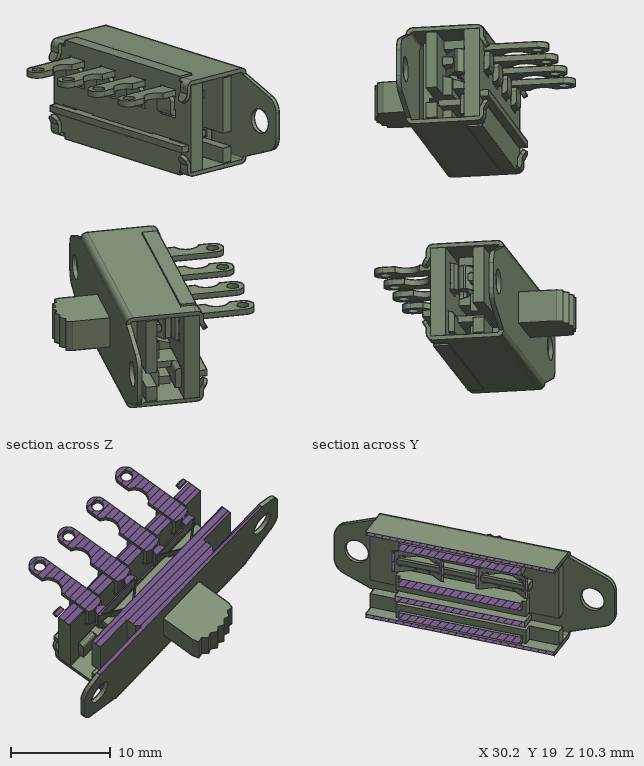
import cadquery as cq
import math


overall_length = 30.23
shell_length = 20.34
shell_height = 9.96
sheet = 0.42
plate_thickness = 0.46
shell_bend_radius = 0.66
mount_hole_diameter = 2.54
mount_hole_spacing = 25.4
ear_tip_height = 4.86
ear_root_height = 8.64
ear_corner_radius = 1.6

board_height = 10.31
board_front = -5.92
board_back = -7.49
board_wide_length = 17.1
board_side_gap = 0.09
board_length = 20.4

tab_width = 1.07
tab_bend_radius = 0.73
tab_straight_end = 3.62
tab_kick_angle = 30
tab_kick_length = 1.07
tab_back = board_back - sheet
tab_bend_start = tab_back + tab_bend_radius
tab_bend_angle = 90
lip_bend_angle = 45

knob_width = 5.58
knob_height = 3.22
knob_tip = 5.15
tooth_peaks = [(0.5, knob_tip), (1.58, 4.89), (2.6, 4.47)]
tooth_valleys = [(0, 4.82), (1.06, 4.7), (2.02, 4.36)]
knob_shoulder = 3.84

carriage_length = shell_length
carriage_nose_length = 12.1
carriage_height = 8.86
carriage_front = -plate_thickness
carriage_step = -2.02
carriage_back = -3.13
carriage_chamfer = 0.46
groove_top = -1.31
groove_bottom = -2.87
groove_floor = -1.54
rib_length = 14.0
rib_end_length = 13.2
rib_mid = -4.05
rib_end = -5.31
top_rib_bottom = 3.53
low_lip_top = -3.6
wedge_root_top = 0.74
wedge_tip_top = 0.04
wedge_bottom = -0.58

terminal_count = 4
terminal_pitch = 4.52
terminal_width = 2.02
terminal_top = 3.53
terminal_bottom = 0.89
terminal_thickness = 0.6
terminal_inner = -5.31
terminal_eye_y = -12.73
terminal_tip = -13.86
eye_diameter = 1.17
notch_y = -10.33
notch_radius = 1.4
notch_depth = 0.77
hook_back = -8.06
hook_top = 2.88
hook_corner = 0.5
terminal_edge_chamfer = 0.24
terminal_edge_run = 0.6
opening_width = 2.24
upper_opening = (2.87, 3.62)
lower_opening = (0.66, 1.53)

strip_length = 19.68
blade_length = 14.0
strip_leg_length = 17.8
strip_front = -2.64
strip_back = -8.35
strip_top = -1.76
strip_bottom = -2.41
strip_leg_bottom = -3.86
strip_bend_radius = 0.4
strip_slot_gap = 0.1
strip_slot_length = 4.45
strip_slot_offset = 6.67

contact_bottom = 0.96
contact_top = 3.36
contact_back = -4.65
contact_sheet = 0.2
contact_leg_width = 0.3
contact_half_length = 2.95
contact_leg_lean = 2.0
window_bottom = 1.58
window_top = 2.78
window_front = -3.79
window_back = -4.06
tongue_bottom = 1.75
tongue_top = 2.56
tongue_length = 14.7
tongue_back = -4.25
tongue_chamfer = 0.15


def box(x_range, y_range, z_range):
    """Axis-aligned block between pairs of coordinates."""
    spans = [sorted(r) for r in (x_range, y_range, z_range)]
    size = [high - low for low, high in spans]
    corner = tuple(low for low, high in spans)
    return cq.Workplane("XY").box(*size, centered=False).translate(corner)


def centred(length):
    """Coordinate pair of a span centred on zero."""
    return (-length / 2, length / 2)


def along_x(profile, length, x_centre=0):
    """Extrude a closed YZ profile along X, centred on x_centre."""
    return profile.extrude(length / 2, both=True).translate((x_centre, 0, 0))


def mirrored(body, plane):
    """The body together with its mirror image."""
    return body.union(body.mirror(plane))


def mounting_plate():
    tip_x = overall_length / 2
    root_x = shell_length / 2
    outline = [
        (-tip_x, -ear_tip_height / 2), (-root_x, -ear_root_height / 2),
        (root_x, -ear_root_height / 2), (tip_x, -ear_tip_height / 2),
        (tip_x, ear_tip_height / 2), (root_x, ear_root_height / 2),
        (-root_x, ear_root_height / 2), (-tip_x, ear_tip_height / 2),
    ]
    plate = cq.Workplane("XZ").polyline(outline).close().extrude(plate_thickness)
    plate = plate.edges("|Y").edges("<X or >X").fillet(ear_corner_radius)
    return (
        plate.faces("<Y").workplane(origin=(0, 0, 0))
        .pushPoints([(-mount_hole_spacing / 2, 0), (mount_hole_spacing / 2, 0)])
        .hole(mount_hole_diameter)
    )


def shell_channel():
    inner_height = shell_height - 2 * sheet
    channel = box(centred(shell_length), (0, tab_bend_start), centred(shell_height))
    channel = channel.edges("|X and >Y").fillet(shell_bend_radius)
    cavity = box(centred(shell_length), (-plate_thickness, tab_bend_start), centred(inner_height))
    cavity = cavity.edges("|X and >Y").fillet(shell_bend_radius - sheet)
    notch_length = board_wide_length + 2 * board_side_gap
    notch = box(centred(notch_length), (board_front, tab_bend_start), centred(shell_height))
    return channel.cut(cavity).cut(notch)


def shell_fold(width, x_centre, angle):
    """Bend of the top sheet, through the given angle, around the rear edge of the board."""
    bend_z = shell_height / 2 - tab_bend_radius
    inner_radius = tab_bend_radius - sheet
    swing_y = -math.sin(math.radians(angle))
    swing_z = math.cos(math.radians(angle))
    profile = (
        cq.Workplane("YZ", origin=(0, tab_bend_start, bend_z))
        .moveTo(0, inner_radius).lineTo(0, tab_bend_radius)
        .radiusArc((tab_bend_radius * swing_y, tab_bend_radius * swing_z), -tab_bend_radius)
        .lineTo(inner_radius * swing_y, inner_radius * swing_z)
        .radiusArc((0, inner_radius), inner_radius)
        .close()
    )
    return along_x(profile, width, x_centre)


def shell_tab(x_centre):
    """Tab running down the board from the bend, its round-ended tip kicked outwards."""
    bend_z = shell_height / 2 - tab_bend_radius
    half_width = tab_width / 2
    x_range = (x_centre - half_width, x_centre + half_width)
    straight = box(x_range, (board_back, tab_back), (tab_straight_end, bend_z))
    kick = math.radians(tab_kick_angle)
    tip_plane = cq.Plane(
        origin=(x_centre, board_back, tab_straight_end),
        xDir=(-1, 0, 0),
        normal=(0, -math.cos(kick), math.sin(kick)),
    )
    round_start = half_width - tab_kick_length
    tip = (
        cq.Workplane(tip_plane).moveTo(-half_width, 0).lineTo(-half_width, -round_start)
        .threePointArc((0, tab_kick_length), (half_width, -round_start))
        .lineTo(half_width, 0).close().extrude(sheet)
    )
    return straight.union(tip)


def shell_tabs():
    tab_x = (shell_length - tab_width) / 2
    lip_width = (shell_length - board_wide_length) / 2 - board_side_gap
    lip_x = (shell_length - lip_width) / 2
    corner = shell_fold(lip_width, lip_x, lip_bend_angle)
    corner = corner.union(shell_fold(tab_width, tab_x, tab_bend_angle))
    corner = corner.union(shell_tab(tab_x))
    return mirrored(mirrored(corner, "YZ"), "XY")


def knob():
    half_width = knob_width / 2
    teeth = []
    for valley, peak in zip(tooth_valleys, tooth_peaks):
        teeth += [valley, peak]
    right_side = teeth + [(half_width, knob_shoulder), (half_width, carriage_front)]
    left_side = [(-x, y) for x, y in reversed(right_side[1:])]
    outline = right_side + left_side
    return cq.Workplane("XY").polyline(outline).close().extrude(knob_height / 2, both=True)


def carriage():
    nose = box(centred(carriage_nose_length), (carriage_front, carriage_step), centred(carriage_height))
    nose = nose.faces(">Y").chamfer(carriage_chamfer)
    body = nose.union(
        box(centred(carriage_length), (carriage_step, carriage_back), centred(carriage_height))
    )
    groove = box(centred(carriage_length), (groove_floor, carriage_back), (groove_bottom, groove_top))
    return body.cut(groove)


def carriage_ribs():
    half_height = carriage_height / 2
    top_rib = box(centred(rib_end_length), (carriage_back, rib_end), (top_rib_bottom, half_height))
    wedge = (
        cq.Workplane("YZ")
        .polyline([
            (carriage_back, groove_top), (carriage_back, wedge_root_top), (rib_end, wedge_tip_top),
            (rib_end, wedge_bottom), (rib_mid, wedge_bottom), (rib_mid, groove_top),
        ])
        .close()
    )
    wedge = along_x(wedge, rib_length)
    cheek_x = (rib_end_length / 2, rib_length / 2)
    cheek = box(cheek_x, (rib_mid, rib_end), (wedge_bottom, wedge_root_top))
    wedge = wedge.cut(mirrored(cheek, "YZ"))
    low_rib = box(centred(rib_length), (carriage_back, rib_mid), (-half_height, groove_bottom))
    low_lip = box(centred(rib_end_length), (rib_mid, rib_end), (-half_height, low_lip_top))
    tongue = box(centred(tongue_length), (carriage_back, tongue_back), (tongue_bottom, tongue_top))
    tongue = tongue.edges("|X and <Y").chamfer(tongue_chamfer)
    return top_rib.union(wedge).union(low_rib.union(low_lip)).union(tongue)


def board():
    plate = box(centred(board_length), (board_front, board_back), centred(shell_height - 2 * sheet))
    return plate.union(box(centred(board_wide_length), (board_front, board_back), centred(board_height)))


def terminal_xs():
    first = -terminal_pitch * (terminal_count - 1) / 2
    return [first + i * terminal_pitch for i in range(terminal_count)]


def board_openings():
    depth = (board_front, board_back)
    cutter = cq.Workplane("XY")
    for x in terminal_xs():
        span = (x - opening_width / 2, x + opening_width / 2)
        for heights in (upper_opening, lower_opening):
            cutter = cutter.union(box(span, depth, heights))
    for x in (-strip_slot_offset, strip_slot_offset):
        span = (x - strip_slot_length / 2, x + strip_slot_length / 2)
        cutter = cutter.union(box(span, depth, (strip_bottom, strip_top + strip_slot_gap)))
    return cutter


def terminal():
    """Strip stapled through the board, with a solder eye and a clinched hook."""
    half_width = terminal_width / 2
    width = centred(terminal_width)
    eye_shoulder = terminal_tip + half_width
    lug = (
        cq.Workplane("XY").moveTo(-half_width, board_front).lineTo(-half_width, eye_shoulder)
        .threePointArc((0, terminal_tip), (half_width, eye_shoulder))
        .lineTo(half_width, board_front).close().extrude(-terminal_thickness)
        .translate((0, 0, terminal_top))
    )
    notch_x = half_width - notch_depth + notch_radius
    notch = cq.Workplane("XY").center(notch_x, notch_y).circle(notch_radius).extrude(terminal_top)
    eye = cq.Workplane("XY").center(0, terminal_eye_y).circle(eye_diameter / 2).extrude(terminal_top)
    lug = lug.cut(notch).cut(eye)
    crown_x = half_width - terminal_edge_run
    crown_shoulder = terminal_inner - terminal_edge_chamfer
    bridge = (
        cq.Workplane("XY")
        .polyline([
            (-half_width, board_front), (-half_width, crown_shoulder), (-crown_x, terminal_inner),
            (crown_x, terminal_inner), (half_width, crown_shoulder), (half_width, board_front),
        ])
        .close().extrude(terminal_top - terminal_bottom)
        .translate((0, 0, terminal_bottom))
    )
    foot_top = terminal_bottom + terminal_thickness
    foot = box(width, (board_front, board_back), (terminal_bottom, foot_top))
    hook = box(width, (board_back, hook_back), (terminal_bottom, hook_top))
    hook = hook.edges("|X and <Y and <Z").fillet(hook_corner)
    hook = hook.edges("|Y and >Z").fillet(hook_corner)
    return lug.union(bridge).union(foot).union(hook)


def ground_strip():
    rail = box(centred(strip_length), (board_back, strip_back), (strip_bottom, strip_top))
    blade = box(centred(blade_length), (strip_front, board_back), (strip_bottom, strip_top))
    leg = box(centred(strip_leg_length), (terminal_inner, board_front), (strip_leg_bottom, strip_top))
    leg = leg.edges("|X and >Y and >Z").fillet(strip_bend_radius)
    return rail.union(blade).union(leg)


def contact(x_centre):
    """Sprung bridge with inward-leaning windowed legs and a round bump under each terminal."""
    legs_x = contact_half_length
    flat = contact_back + contact_sheet
    height = contact_top - contact_bottom
    bump_rise = contact_back - terminal_inner
    inner_x = legs_x - contact_leg_width
    outline = [
        (-legs_x + contact_leg_lean, carriage_back), (-legs_x, flat), (-legs_x, contact_back),
        (legs_x, contact_back), (legs_x, flat), (legs_x - contact_leg_lean, carriage_back),
        (inner_x - contact_leg_lean, carriage_back), (inner_x, flat),
        (-inner_x, flat), (-inner_x + contact_leg_lean, carriage_back),
    ]
    spring = cq.Workplane("XY").polyline(outline).close().extrude(height)
    for x in (-terminal_pitch / 2, terminal_pitch / 2):
        bump = (
            cq.Workplane("XY").moveTo(x - bump_rise, contact_back)
            .threePointArc((x, contact_back - bump_rise), (x + bump_rise, contact_back))
            .close().extrude(height)
        )
        spring = spring.union(bump)
    spring = spring.translate((0, 0, contact_bottom))
    window = box((-legs_x, legs_x), (window_front, window_back), (window_bottom, window_top))
    return spring.cut(window).translate((x_centre, 0, 0))


result = mounting_plate().union(shell_channel()).union(shell_tabs())
result = result.union(carriage()).union(knob())
for side in (-1, 1):
    result = result.union(contact(side * terminal_pitch))
result = result.union(carriage_ribs())
result = result.union(board().cut(board_openings())).union(ground_strip())
for terminal_x in terminal_xs():
    result = result.union(terminal().translate((terminal_x, 0, 0)))